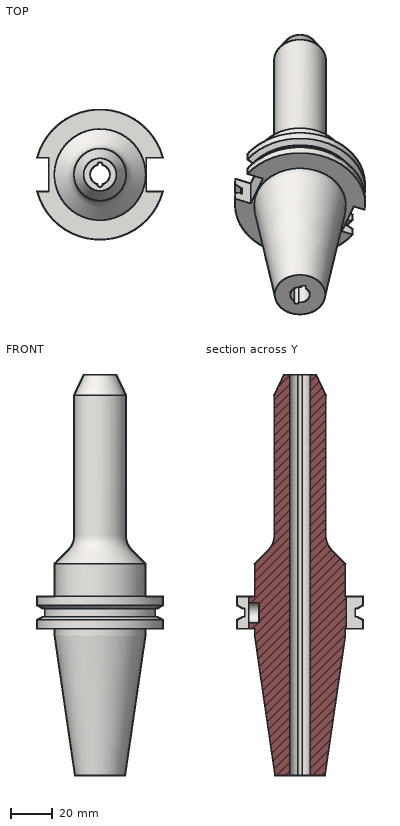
import cadquery as cq
import math


gauge_radius = 44.45 / 2
taper_length = 68.25
taper_ratio = 7 / 24
taper_end_radius = gauge_radius - taper_ratio * taper_length / 2

flange_radius = 63.5 / 2
flange_bottom = 3.175
flange_thickness = 15.875
flange_top = flange_bottom + flange_thickness
groove_center = flange_bottom + flange_thickness / 2
groove_mouth_width = 7.04
groove_slot_width = 3.8
groove_floor_radius = 56.3 / 2
groove_wall_angle = 30
groove_wall_rise = (groove_mouth_width - groove_slot_width) / 2
groove_wall_end_radius = flange_radius - groove_wall_rise / math.tan(math.radians(groove_wall_angle))

slot_width = 16.38
deep_slot_distance = 22.6
shallow_slot_distance = 25.0

dimple_diameter = 9.525
dimple_depth = 5.0

nose_length = 127.0
shoulder_radius = gauge_radius
shoulder_top = flange_top + flange_thickness
shank_radius = 25.4 / 2
blend_radius = 10.0
cone_top = shoulder_top + shoulder_radius - shank_radius
tip_radius = 15.875 / 2
tip_height = 10.0

bore_radius = 9.525 / 2
coolant_groove_diameter = 2.38


def make_body():
    """Revolve the outer outline of the taper, flange and nose about Z."""
    cone_angle = math.radians(45)
    blend_tangent_length = blend_radius * math.tan(cone_angle / 2)
    blend_rise = blend_tangent_length * math.cos(cone_angle)
    blend_run = blend_tangent_length * math.sin(cone_angle)
    blend_start = (shank_radius + blend_run, cone_top - blend_rise)
    blend_end = (shank_radius, cone_top + blend_tangent_length)
    blend_middle = (
        shank_radius + blend_radius * (1 - math.cos(cone_angle / 2)),
        blend_end[1] - blend_radius * math.sin(cone_angle / 2),
    )
    return (
        cq.Workplane("XZ")
        .moveTo(0, -taper_length)
        .lineTo(taper_end_radius, -taper_length)
        .lineTo(gauge_radius, 0)
        .lineTo(gauge_radius, flange_bottom)
        .lineTo(flange_radius, flange_bottom)
        .lineTo(flange_radius, groove_center - groove_mouth_width / 2)
        .lineTo(groove_wall_end_radius, groove_center - groove_slot_width / 2)
        .lineTo(groove_floor_radius, groove_center - groove_slot_width / 2)
        .lineTo(groove_floor_radius, groove_center + groove_slot_width / 2)
        .lineTo(groove_wall_end_radius, groove_center + groove_slot_width / 2)
        .lineTo(flange_radius, groove_center + groove_mouth_width / 2)
        .lineTo(flange_radius, flange_top)
        .lineTo(shoulder_radius, flange_top)
        .lineTo(shoulder_radius, shoulder_top)
        .lineTo(*blend_start)
        .threePointArc(blend_middle, blend_end)
        .lineTo(shank_radius, nose_length - tip_height)
        .lineTo(tip_radius, nose_length)
        .lineTo(0, nose_length)
        .close()
        .revolve(360, (0, 0, 0), (0, 1, 0))
    )


def make_key_slot(side, floor_distance):
    """Box that cuts a key slot through the flange; side is +1 for +X, -1 for -X."""
    return (
        cq.Workplane("XY")
        .box(flange_radius, slot_width, flange_thickness)
        .translate((side * (floor_distance + flange_radius / 2), 0, groove_center))
    )


def make_dimple():
    """Round blind hole running inward from the floor of the -X key slot."""
    return (
        cq.Workplane("YZ", origin=(-shallow_slot_distance, 0, 0))
        .center(0, groove_center)
        .circle(dimple_diameter / 2)
        .extrude(dimple_depth)
    )


def make_bore():
    """Through bore together with the coolant grooves on its +Y and -Y sides."""
    holder_length = taper_length + nose_length
    base = cq.Workplane("XY", origin=(0, 0, -taper_length))
    bore = base.circle(bore_radius).extrude(holder_length)
    grooves = (
        base.pushPoints([(0, bore_radius), (0, -bore_radius)])
        .circle(coolant_groove_diameter / 2)
        .extrude(holder_length)
    )
    return bore.union(grooves)


result = (
    make_body()
    .cut(make_key_slot(1, deep_slot_distance))
    .cut(make_key_slot(-1, shallow_slot_distance))
    .cut(make_dimple())
    .cut(make_bore())
)